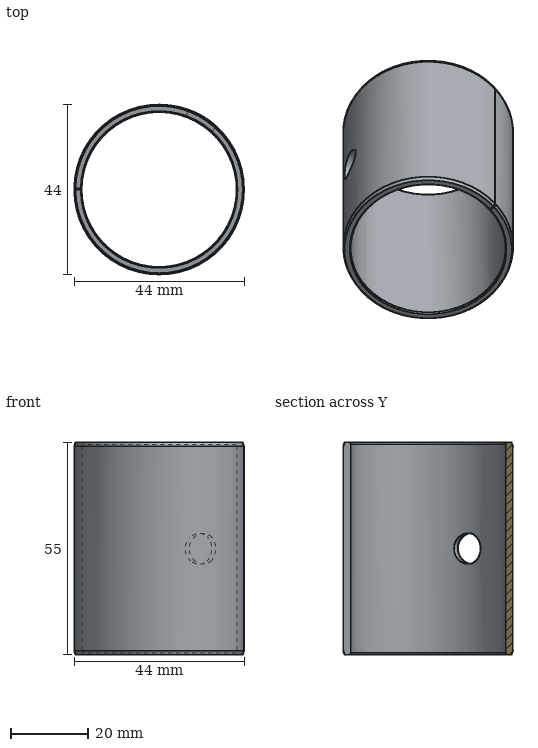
import cadquery as cq
import math

length = 55.0
outer_radius = 22.0
wall = 2.0
inner_radius = outer_radius - wall
outer_chamfer_height = 1.1
outer_chamfer_depth = 0.4
inner_chamfer_height = 0.5
inner_chamfer_depth = 0.3
seam_width = 0.2
hole_diameter = 8.0
hole_angle = 59.0
hole_height = length / 2


def sleeve():
    """Revolve the wall section, chamfered at both ends inside and out."""
    section = [
        (inner_radius + inner_chamfer_depth, 0),
        (outer_radius - outer_chamfer_depth, 0),
        (outer_radius, outer_chamfer_height),
        (outer_radius, length - outer_chamfer_height),
        (outer_radius - outer_chamfer_depth, length),
        (inner_radius + inner_chamfer_depth, length),
        (inner_radius, length - inner_chamfer_height),
        (inner_radius, inner_chamfer_height),
    ]
    return cq.Workplane("XZ").polyline(section).close().revolve(360, (0, 0, 0), (0, 1, 0))


def seam():
    """Thin full-length slot on the -X side, with one face on the XZ plane."""
    slot = cq.Workplane("XY").box(outer_radius, seam_width, length, centered=False)
    return slot.translate((-outer_radius, 0, 0))


def oil_hole():
    """Radial cylinder from the axis out through one side of the wall."""
    angle = math.radians(hole_angle)
    outward = cq.Vector(math.cos(angle), math.sin(angle), 0)
    start = cq.Vector(0, 0, hole_height)
    return cq.Solid.makeCylinder(hole_diameter / 2, 2 * outer_radius, start, outward)


result = sleeve().cut(seam()).cut(oil_hole())